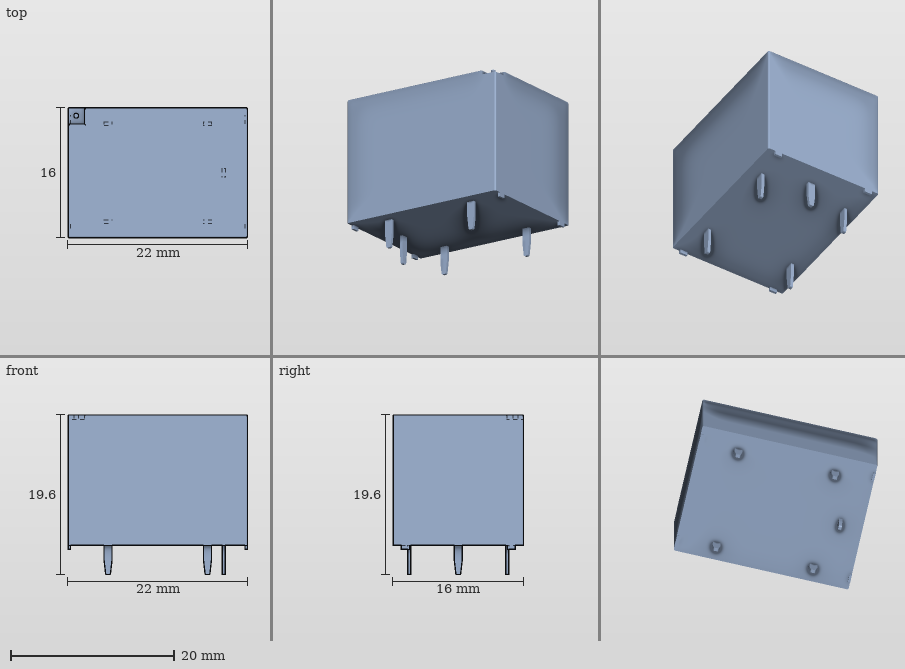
import cadquery as cq

case_length = 22.0
case_width = 16.0
case_height = 16.0
edge_radius = 0.2

recess_side = 2.0
recess_depth = 0.6
post_diameter = 0.6

foot_thickness = 0.3
foot_width = 1.0
foot_height = 0.5
foot_outer_y = 7.0

pin_length = 3.6
pin_width = 1.0
pin_thickness = 0.4
pin_straight_length = 1.9
pin_tip_width = 0.6
pin_tip_radius = 0.2
pin_column_x = 6.1
pin_row_y = 6.0
centre_pin_x = 8.1


def make_case():
    """Block with a corner recess, rounded on its upright and top edges."""
    case = cq.Workplane("XY").box(case_length, case_width, case_height, centered=(True, True, False))
    case = case.edges("|Z").fillet(edge_radius)
    recess = (
        cq.Workplane("XY")
        .box(recess_side, recess_side, recess_depth, centered=False)
        .translate((-case_length / 2, case_width / 2 - recess_side, case_height - recess_depth))
    )
    return case.cut(recess).faces(">Z").edges().fillet(edge_radius)


def make_post():
    """Post standing in the middle of the recess, level with the case top."""
    return (
        cq.Workplane("XY", origin=(0, 0, case_height - recess_depth))
        .center((recess_side - case_length) / 2, (case_width - recess_side) / 2)
        .circle(post_diameter / 2)
        .extrude(recess_depth)
    )


def make_foot(side_x, side_y):
    """Foot flush with an end wall; the sides are +1 or -1."""
    return (
        cq.Workplane("XY")
        .center(side_x * (case_length - foot_thickness) / 2, side_y * (foot_outer_y - foot_width / 2))
        .rect(foot_thickness, foot_width)
        .extrude(-foot_height)
    )


def make_pin():
    """Pin hanging from the origin, wide along X and thin along Y."""
    return (
        cq.Workplane("XZ")
        .moveTo(-pin_width / 2, 0)
        .lineTo(-pin_width / 2, -pin_straight_length)
        .lineTo(-pin_tip_width / 2, -pin_length)
        .lineTo(pin_tip_width / 2, -pin_length)
        .lineTo(pin_width / 2, -pin_straight_length)
        .lineTo(pin_width / 2, 0)
        .close()
        .extrude(pin_thickness / 2, both=True)
        .faces("<Z")
        .edges("|Y")
        .fillet(pin_tip_radius)
    )


result = make_case().union(make_post())
pin = make_pin()
for side_x in (-1, 1):
    for side_y in (-1, 1):
        result = result.union(make_foot(side_x, side_y))
        result = result.union(pin.translate((side_x * pin_column_x, side_y * pin_row_y, 0)))

centre_pin = pin.rotate((0, 0, 0), (0, 0, 1), 90).translate((centre_pin_x, 0, 0))
result = result.union(centre_pin)